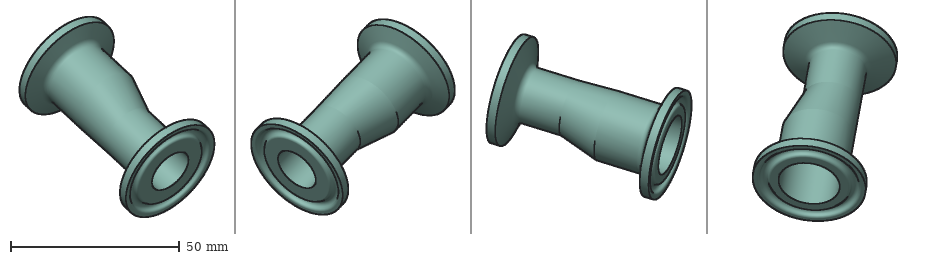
import cadquery as cq
import math


length = 53.0
taper_start = 20.0
taper_end = 33.0

large_outer_radius = 21.7 / 2
large_bore_radius = 18.4 / 2
small_outer_radius = 17.3 / 2
small_bore_radius = 14.0 / 2
small_axis_y = small_outer_radius - large_outer_radius

flange_radius = 34.0 / 2
rim_thickness = 2.85
clamp_angle = math.radians(20.0)
neck_fillet = 2.0

groove_centre_radius = 27.5 / 2
groove_bottom_radius = 1.2
groove_lip_radius = 0.8
groove_wall_length = 0.4
groove_wall_angle = math.radians(70.0)


def ferrule_half(tube_radius, tube_length):
    """Solid ferrule and tube with the face at X = 0 and the tube toward +X."""
    fillet_turn = math.pi / 2 - clamp_angle
    cone_end_radius = tube_radius + neck_fillet * (1 - math.cos(fillet_turn))
    cone_end_x = rim_thickness + (flange_radius - cone_end_radius) * math.tan(clamp_angle)
    fillet_end_x = cone_end_x + neck_fillet * math.sin(fillet_turn)
    mid_turn = fillet_turn / 2
    fillet_mid = (
        fillet_end_x - neck_fillet * math.sin(mid_turn),
        tube_radius + neck_fillet * (1 - math.cos(mid_turn)),
    )
    profile = (
        cq.Workplane("XY")
        .lineTo(0, flange_radius)
        .lineTo(rim_thickness, flange_radius)
        .lineTo(cone_end_x, cone_end_radius)
        .threePointArc(fillet_mid, (fillet_end_x, tube_radius))
        .lineTo(tube_length, tube_radius)
        .lineTo(tube_length, 0)
        .close()
    )
    body = profile.revolve(360, (0, 0, 0), (1, 0, 0))
    return body.cut(gasket_groove())


def gasket_groove():
    """Ring removed from the ferrule face at X = 0."""
    bottom_offset = groove_bottom_radius * math.sin(groove_wall_angle)
    lip_offset = bottom_offset + groove_wall_length * math.cos(groove_wall_angle)
    edge_offset = lip_offset + groove_lip_radius * math.sin(groove_wall_angle)
    lip_depth = groove_lip_radius * (1 - math.cos(groove_wall_angle))
    wall_end_depth = lip_depth + groove_wall_length * math.sin(groove_wall_angle)
    bottom_depth = wall_end_depth + groove_bottom_radius * (1 - math.cos(groove_wall_angle))
    lip_mid_angle = groove_wall_angle / 2
    lip_mid_offset = edge_offset - groove_lip_radius * math.sin(lip_mid_angle)
    lip_mid_depth = groove_lip_radius * (1 - math.cos(lip_mid_angle))

    def point(depth, offset):
        return (depth, groove_centre_radius + offset)

    profile = (
        cq.Workplane("XY")
        .moveTo(*point(0, -edge_offset))
        .threePointArc(point(lip_mid_depth, -lip_mid_offset), point(lip_depth, -lip_offset))
        .lineTo(*point(wall_end_depth, -bottom_offset))
        .threePointArc(point(bottom_depth, 0), point(wall_end_depth, bottom_offset))
        .lineTo(*point(lip_depth, lip_offset))
        .threePointArc(point(lip_mid_depth, lip_mid_offset), point(0, edge_offset))
        .close()
    )
    return profile.revolve(360, (0, 0, 0), (1, 0, 0))


def eccentric_taper(large_radius, small_radius):
    """Straight-sided transition between the two offset circles."""
    return (
        cq.Workplane("YZ", origin=(taper_start, 0, 0))
        .circle(large_radius)
        .workplane(offset=taper_end - taper_start)
        .center(small_axis_y, 0)
        .circle(small_radius)
        .loft(ruled=True)
    )


def bore():
    """Through passage: large bore, eccentric taper, small bore."""
    large_bore = cq.Workplane("YZ").circle(large_bore_radius).extrude(taper_start)
    small_bore = (
        cq.Workplane("YZ", origin=(taper_end, small_axis_y, 0))
        .circle(small_bore_radius)
        .extrude(length - taper_end)
    )
    return large_bore.union(eccentric_taper(large_bore_radius, small_bore_radius)).union(small_bore)


large_end = ferrule_half(large_outer_radius, taper_start)
small_end = (
    ferrule_half(small_outer_radius, length - taper_end)
    .mirror("YZ")
    .translate((length, small_axis_y, 0))
)
taper = eccentric_taper(large_outer_radius, small_outer_radius)

result = large_end.union(taper).union(small_end).cut(bore())